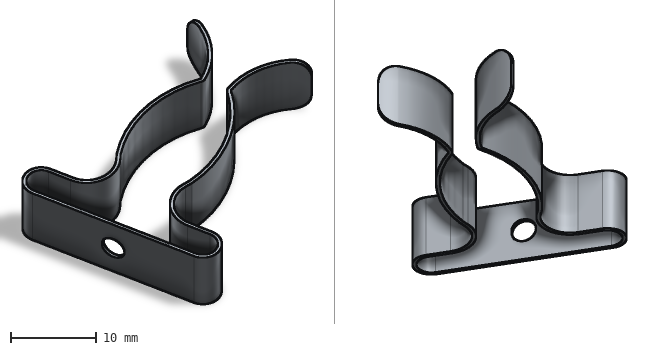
import cadquery as cq
import math

LENGTH = 34.5
WIDTH = 26.0
HEIGHT = 8.0
THICKNESS = 0.5

LOOP_DEPTH = 4.5
HOLE_DIAMETER = 3.0

BACK_STRAIGHT = 2.95
SHOULDER_RADIUS = 3.72
ARM_STRAIGHT = 1.0
ARM_HEADING = 65.7
BELLY_START_HEADING = 70.9
BELLY_RADIUS = 15.25
BELLY_END_HEADING = 131.0
NECK_RADIUS = 0.55
NECK_END_HEADING = 85.6
TIP_RADIUS = 9.8
TIP_CORNER_RADIUS = 2.5

HALF_THICKNESS = THICKNESS / 2
LOOP_OUTER_RADIUS = LOOP_DEPTH / 2
LOOP_RADIUS = LOOP_OUTER_RADIUS - HALF_THICKNESS
BASE_HALF_LENGTH = WIDTH / 2 - LOOP_OUTER_RADIUS


def shifted(point, heading, distance):
    """Point moved sideways, to the left of the heading."""
    angle = math.radians(heading)
    return (point[0] - distance * math.sin(angle), point[1] + distance * math.cos(angle))


class StripPath:
    """Middle line of the strip, walked as straights and bends, tangent except at a kink.

    Each piece holds its stations, each a point with a heading: two for a straight, three for a bend.
    """

    def __init__(self, point, heading):
        self.point = point
        self.heading = heading
        self.pieces = []

    def straight(self, length):
        start = (self.point, self.heading)
        angle = math.radians(self.heading)
        self.point = (self.point[0] + length * math.cos(angle), self.point[1] + length * math.sin(angle))
        self.pieces.append([start, (self.point, self.heading)])

    def kink(self, heading):
        self.heading = heading

    def bend_centre(self, radius):
        """Centre of a bend starting here; a positive radius turns left, a negative one right."""
        return shifted(self.point, self.heading, radius)

    def bend(self, radius, end_heading):
        centre = self.bend_centre(radius)
        middle_heading = (self.heading + end_heading) / 2
        headings = (self.heading, middle_heading, end_heading)
        self.pieces.append([(shifted(centre, heading, -radius), heading) for heading in headings])
        self.heading = end_heading
        self.point = shifted(centre, end_heading, -radius)


def right_half_path():
    path = StripPath((0, HALF_THICKNESS), 0)
    path.straight(BASE_HALF_LENGTH)
    path.bend(LOOP_RADIUS, 180)
    path.straight(BACK_STRAIGHT)
    path.bend(-SHOULDER_RADIUS, ARM_HEADING)
    path.straight(ARM_STRAIGHT)
    path.kink(BELLY_START_HEADING)
    path.bend(BELLY_RADIUS, BELLY_END_HEADING)
    path.bend(-NECK_RADIUS, NECK_END_HEADING)
    flare_rise = LENGTH - path.bend_centre(-TIP_RADIUS)[1]
    tip_heading = math.degrees(math.acos(flare_rise / (TIP_RADIUS + HALF_THICKNESS)))
    path.bend(-TIP_RADIUS, tip_heading)
    return path


def strip_outline(path):
    """Closed outline: out along the right face, across the tip, back along the left face."""
    outline = cq.Workplane("XY").moveTo(*shifted(*path.pieces[0][0], -HALF_THICKNESS))

    def follow(stations, offset):
        points = [shifted(point, heading, offset) for point, heading in stations[1:]]
        return outline.lineTo(*points[0]) if len(points) == 1 else outline.threePointArc(*points)

    for stations in path.pieces:
        outline = follow(stations, -HALF_THICKNESS)
    outline = outline.lineTo(*shifted(path.point, path.heading, HALF_THICKNESS))
    for stations in reversed(path.pieces):
        outline = follow(stations[::-1], HALF_THICKNESS)
    return outline.close()


def half_clip():
    path = right_half_path()
    strip = strip_outline(path).extrude(HEIGHT)
    reach = (THICKNESS, THICKNESS, HEIGHT)
    end = (path.point[0], path.point[1], HEIGHT / 2)
    low_corner = tuple(place - distance for place, distance in zip(end, reach))
    high_corner = tuple(place + distance for place, distance in zip(end, reach))
    tip_edges = cq.selectors.BoxSelector(low_corner, high_corner)
    return strip.edges(tip_edges).edges("#Z").fillet(TIP_CORNER_RADIUS)


def mounting_hole():
    hole = cq.Workplane("XZ").center(0, HEIGHT / 2).circle(HOLE_DIAMETER / 2)
    return hole.extrude(-THICKNESS)


right_half = half_clip()
result = right_half.union(right_half.mirror("YZ")).cut(mounting_hole())